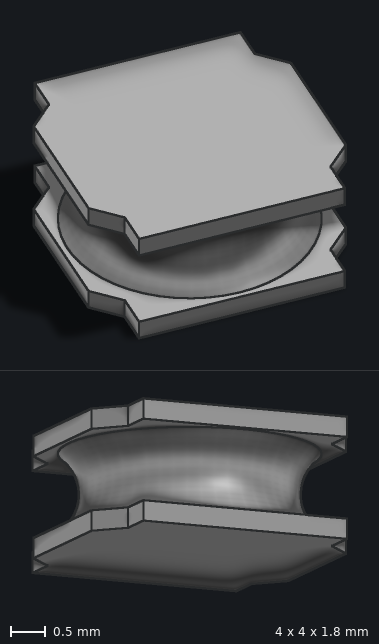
import cadquery as cq

flange_size = 4.0
total_height = 1.8
flange_thickness = 0.3

end_edge_width = 2.1
corner_bevel = 0.4

waist_diameter = 3.2
core_end_diameter = 3.8

half_size = flange_size / 2
shoulder_y = half_size - corner_bevel
end_edge_x = end_edge_width / 2
bevel_x = end_edge_x + corner_bevel
core_height = total_height - 2 * flange_thickness


def make_flange(bottom_z):
    """Square plate with a stepped, beveled cutout at each corner."""
    quarter = [
        (half_size, shoulder_y),
        (bevel_x, shoulder_y),
        (end_edge_x, half_size),
    ]
    upper = quarter + [(-x, y) for x, y in reversed(quarter)]
    lower = [(-x, -y) for x, y in upper]
    return (
        cq.Workplane("XY")
        .workplane(offset=bottom_z)
        .polyline(upper + lower)
        .close()
        .extrude(flange_thickness)
    )


def make_core():
    """Revolved core with a concave arc profile, narrowest at mid height."""
    end_radius = core_end_diameter / 2
    half_height = core_height / 2
    return (
        cq.Workplane("XZ")
        .moveTo(0, -half_height)
        .lineTo(end_radius, -half_height)
        .threePointArc((waist_diameter / 2, 0), (end_radius, half_height))
        .lineTo(0, half_height)
        .close()
        .revolve(360, (0, 0), (0, 1))
    )


lower_flange = make_flange(-total_height / 2)
upper_flange = make_flange(core_height / 2)
result = make_core().union(lower_flange).union(upper_flange)